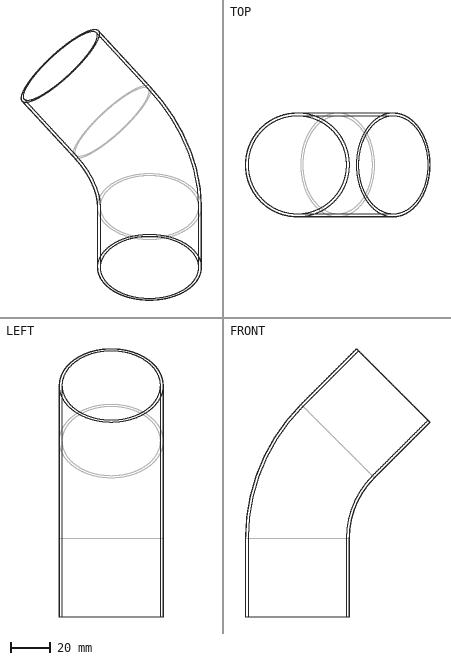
import cadquery as cq
import math

outer_diameter = 53.0
inner_diameter = 50.0
straight_length = 40.0
bend_radius = 70.0
bend_angle = 45.0

angle = math.radians(bend_angle)


def bend_point(turn):
    """Point (x, z) on the bend's centreline after turning through `turn` radians."""
    x = bend_radius * (1 - math.cos(turn))
    z = straight_length + bend_radius * math.sin(turn)
    return x, z


bend_start = bend_point(0)
bend_middle = bend_point(angle / 2)
bend_end = bend_point(angle)
pipe_end = (
    bend_end[0] + straight_length * math.sin(angle),
    bend_end[1] + straight_length * math.cos(angle),
)

centreline = (
    cq.Workplane("XZ")
    .lineTo(*bend_start)
    .threePointArc(bend_middle, bend_end)
    .lineTo(*pipe_end)
)

wall_section = cq.Workplane("XY").circle(outer_diameter / 2).circle(inner_diameter / 2)
result = wall_section.sweep(centreline)